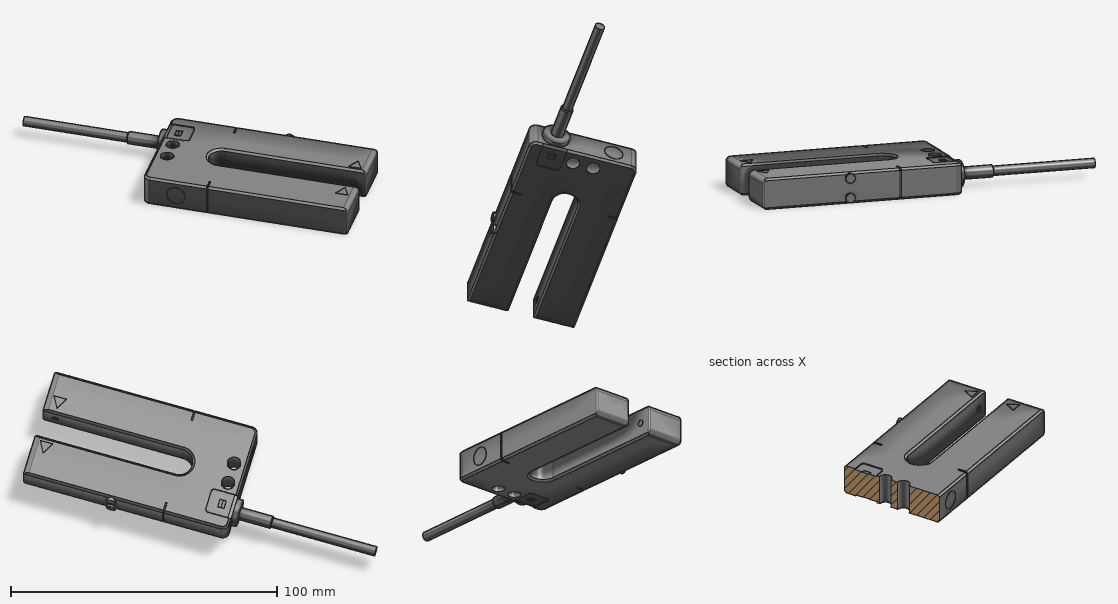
import cadquery as cq


total_length = 135.2
body_length = 80.0
body_width = 42.0
body_height = 12.0
edge_chamfer = 0.8
corner_radius = 2.6
tip_round = 2.0
tip_corner_round = 0.5

slot_width = 10.0
slot_depth = 60.0

hole_diameter = 5.0
hole_x = 5.0
first_hole_y = 3.0
hole_spacing = 8.0

groove_x = 25.0
groove_width = 0.5
groove_depth = 0.3
groove_reach = 4.0

cable_y = 11.5
cable_diameter = 3.7
flange_diameter = 10.4
flange_length = 2.2
flange_round = 0.4
sleeve_diameter = 4.7
sleeve_length = 12.7
sleeve_chamfer = 0.4

recess_length = 10.1
recess_width = 9.5
recess_depth = 0.4
recess_radius = 1.2
recess_lip = 1.2
indicator_x = 3.7
indicator_width = 1.2
indicator_length = 3.1
indicator_depths = (0.3, 0.1)

button_diameter = 3.7
button_height = 1.0
button_x = 45.3
button_z = 3.8

mark_depth = 0.1
disc_diameter = 7.2
side_disc_x = 12.8
back_disc_y = -11.5
beam_x = body_length - 5.0
beam_window_diameter = 2.6
arrow_width = 4.9
arrow_height = 4.5
arrow_base_y = (6.8, -11.6)

half_width = body_width / 2
half_height = body_height / 2
half_slot = slot_width / 2


def make_housing():
    """Chamfered U-shaped block with rounded edges at the fork tips."""
    overrun = 6.8
    block = (
        cq.Workplane("XY")
        .box(body_length + overrun, body_width, body_height, centered=(False, True, True))
        .edges("|Z and <X")
        .fillet(corner_radius)
    )
    slot_round_x = body_length - slot_depth + half_slot
    slot = (
        cq.Workplane("XY", origin=(0, 0, -half_height))
        .moveTo(body_length + overrun, half_slot)
        .lineTo(slot_round_x, half_slot)
        .threePointArc((body_length - slot_depth, 0), (slot_round_x, -half_slot))
        .lineTo(body_length + overrun, -half_slot)
        .close()
        .extrude(body_height)
    )
    fork = block.cut(slot).faces("<Z or >Z").chamfer(edge_chamfer)
    side_profile = (
        cq.Workplane("XY")
        .box(body_length, body_width, body_height, centered=(False, True, True))
        .edges("|Y and >X")
        .fillet(tip_round)
    )
    fork = fork.intersect(side_profile)
    return fork.faces(">X").edges("|Z").fillet(tip_corner_round)


def parting_grooves():
    """Thin groove following the housing section, kept to a short reach from each side."""
    slice_of_housing = cq.Workplane("XY").box(groove_width, body_width, body_height)
    core = (
        cq.Workplane("XY")
        .box(groove_width, body_width - 2 * groove_depth, body_height - 2 * groove_depth)
        .edges("|X")
        .chamfer(edge_chamfer)
    )
    middle = cq.Workplane("XY").box(groove_width, body_width - 2 * groove_reach, body_height)
    return slice_of_housing.cut(core).cut(middle).translate((groove_x, 0, 0))


def mounting_holes():
    """Two through holes beside the cable entry."""
    points = [(hole_x, first_hole_y), (hole_x, first_hole_y - hole_spacing)]
    return (
        cq.Workplane("XY")
        .pushPoints(points)
        .circle(hole_diameter / 2)
        .extrude(half_height, both=True)
    )


def upper_recess():
    """Recess sloping down to the lower chamfer edge at X = 0, with the indicator windows."""
    floor_z = half_height - recess_depth
    pocket = (
        cq.Workplane("XZ", origin=(0, cable_y, 0))
        .moveTo(0, half_height - edge_chamfer)
        .lineTo(recess_lip, floor_z)
        .lineTo(recess_length, floor_z)
        .lineTo(recess_length, half_height)
        .lineTo(0, half_height)
        .close()
        .extrude(recess_width / 2, both=True)
        .edges("|Z and >X")
        .fillet(recess_radius)
    )
    for step, depth in enumerate(indicator_depths):
        window = cq.Workplane("XY").box(
            indicator_width, indicator_length, depth, centered=(False, True, False)
        )
        window_x = indicator_x + step * indicator_width
        pocket = pocket.union(window.translate((window_x, cable_y, floor_z - depth)))
    return pocket


def arrows():
    """Triangles in the top face that point to +Y at the beam position."""
    cutters = cq.Workplane("XY", origin=(beam_x, 0, half_height - mark_depth))
    for base_y in arrow_base_y:
        cutters = (
            cutters.moveTo(-arrow_width / 2, base_y)
            .lineTo(arrow_width / 2, base_y)
            .lineTo(0, base_y + arrow_height)
            .close()
        )
    return cutters.extrude(mark_depth)


def disc_marks():
    """Round marks in the -Y side and in the cable-side face."""
    radius = disc_diameter / 2
    side = cq.Workplane("XZ", origin=(side_disc_x, -half_width, 0)).circle(radius).extrude(-mark_depth)
    back = cq.Workplane("YZ", origin=(0, back_disc_y, 0)).circle(radius).extrude(mark_depth)
    return side.union(back)


def beam_windows():
    """Facing round windows in the two slot walls."""
    return (
        cq.Workplane("XZ", origin=(beam_x, 0, 0))
        .circle(beam_window_diameter / 2)
        .extrude(half_slot + mark_depth, both=True)
    )


def make_buttons():
    """Two round buttons rooted below the chamfered edges so that they join fully."""
    return (
        cq.Workplane("XZ", origin=(button_x, half_width + button_height, 0))
        .pushPoints([(0, -button_z), (0, button_z)])
        .circle(button_diameter / 2)
        .extrude(button_height + edge_chamfer)
    )


def make_cable():
    """Flange, strain-relief sleeve and cable running out toward -X."""
    cable_start = cq.Workplane("YZ", origin=(0, cable_y, 0))
    cable = cable_start.circle(cable_diameter / 2).extrude(body_length - total_length)
    sleeve = (
        cable_start.circle(sleeve_diameter / 2)
        .extrude(-flange_length - sleeve_length)
        .faces("<X")
        .chamfer(sleeve_chamfer)
    )
    flange = (
        cable_start.circle(flange_diameter / 2)
        .extrude(-flange_length)
        .faces("<X")
        .edges()
        .fillet(flange_round)
    )
    return cable.union(sleeve).union(flange)


recess = upper_recess()
housing = make_housing()
for cutter in (
    parting_grooves(),
    mounting_holes(),
    recess,
    recess.mirror("XY"),
    arrows(),
    disc_marks(),
    beam_windows(),
):
    housing = housing.cut(cutter)

result = housing.union(make_buttons()).union(make_cable())